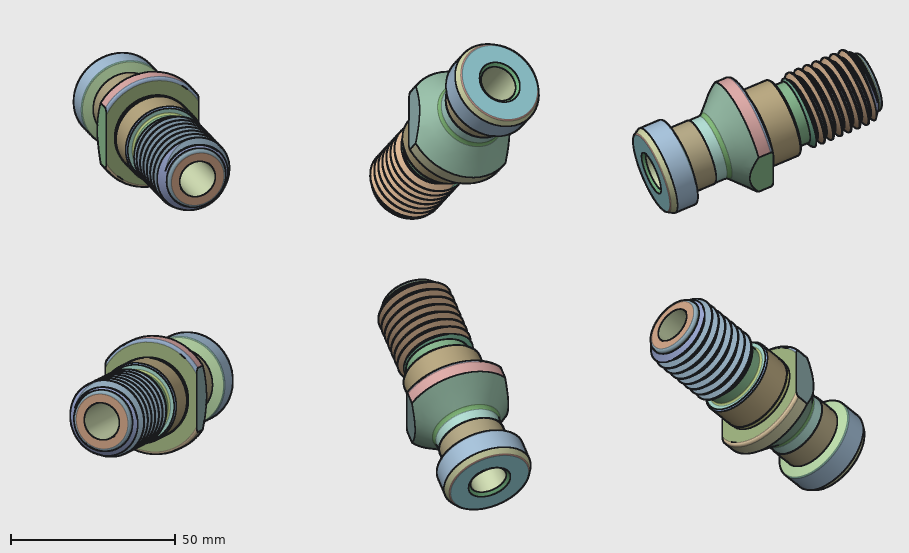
import cadquery as cq
import math


TOTAL_LENGTH = 74.0
HEAD_REAR = 9.0
NECK_STEP = 16.9
FLANGE_FRONT = 29.0
FLANGE_REAR = 34.0
PILOT_START = 35.4
PILOT_END = 44.9
THREAD_START = 48.9
THREAD_END = 72.5

HEAD_RADIUS = 14.0
NECK_RADIUS = 10.5
NECK_RELIEF_RADIUS = 10.35
FLANGE_RADIUS = 18.0
PILOT_RADIUS = 12.5
PILOT_RELIEF_RADIUS = 12.3
UNDERCUT_RADIUS = 10.1
TIP_RADIUS = 9.5
BORE_RADIUS = 5.75

HEAD_CHAMFER_LENGTH = 2.0
HEAD_CHAMFER_ANGLE = 30.0
HEAD_FRONT_FILLET = 0.5
HEAD_REAR_ANGLE = 15.0
HEAD_REAR_FILLET = 0.4
NECK_FILLET = 2.0
FLANGE_FILLET = 1.0
PILOT_CHAMFER = 0.5
UNDERCUT_FILLET = 0.6
TIP_FILLET = 1.0
BORE_CHAMFER = 1.0
EDGE_TOLERANCE = 1e-4

WIDTH_ACROSS_FLATS = 30.0

THREAD_RADIUS = 12.0
THREAD_PITCH = 3.0
THREAD_DEPTH = 0.6134 * THREAD_PITCH
ROOT_RADIUS = THREAD_RADIUS - THREAD_DEPTH
THREAD_CREST_WIDTH = THREAD_PITCH / 8
THREAD_HALF_ANGLE = 30.0
THREAD_LEAD_IN_ANGLE = 35.0
THREAD_LEAD_OUT_ANGLE = 40.0
FIRST_CREST = 46.1
RIDGE_EMBEDMENT = 0.2
TRIM_CLEARANCE = 0.2


def tangent(degrees):
    return math.tan(math.radians(degrees))


def revolve_about_x(profile):
    """Turn a closed (station, radius) outline about the X axis."""
    return cq.Workplane("XZ").polyline(profile).close().revolve(360, (0, 0, 0), (1, 0, 0))


def make_turned_body():
    """Revolve the outer profile, with the threaded length at its root radius."""
    head_face_radius = HEAD_RADIUS - HEAD_CHAMFER_LENGTH * tangent(HEAD_CHAMFER_ANGLE)
    neck_start = HEAD_REAR + (HEAD_RADIUS - NECK_RADIUS) * tangent(HEAD_REAR_ANGLE)
    cone_start = FLANGE_FRONT - (FLANGE_RADIUS - NECK_RELIEF_RADIUS)
    profile = [
        (0, 0),
        (0, head_face_radius),
        (HEAD_CHAMFER_LENGTH, HEAD_RADIUS),
        (HEAD_REAR, HEAD_RADIUS),
        (neck_start, NECK_RADIUS),
        (NECK_STEP, NECK_RADIUS),
        (NECK_STEP, NECK_RELIEF_RADIUS),
        (cone_start, NECK_RELIEF_RADIUS),
        (FLANGE_FRONT, FLANGE_RADIUS),
        (FLANGE_REAR, FLANGE_RADIUS),
        (FLANGE_REAR, PILOT_RELIEF_RADIUS),
        (PILOT_START, PILOT_RELIEF_RADIUS),
        (PILOT_START, PILOT_RADIUS),
        (PILOT_END - PILOT_CHAMFER, PILOT_RADIUS),
        (PILOT_END, PILOT_RADIUS - PILOT_CHAMFER),
        (PILOT_END, UNDERCUT_RADIUS),
        (THREAD_START, UNDERCUT_RADIUS),
        (THREAD_START, ROOT_RADIUS),
        (TOTAL_LENGTH, ROOT_RADIUS),
        (TOTAL_LENGTH, 0),
    ]
    body = revolve_about_x(profile)
    rounded_edges = [
        (0, head_face_radius, HEAD_FRONT_FILLET),
        (HEAD_REAR, HEAD_RADIUS, HEAD_REAR_FILLET),
        (cone_start, NECK_RELIEF_RADIUS, NECK_FILLET),
        (FLANGE_REAR, FLANGE_RADIUS, FLANGE_FILLET),
        (PILOT_END, UNDERCUT_RADIUS, UNDERCUT_FILLET),
    ]
    for station, radius, fillet in rounded_edges:
        body = round_circular_edge(body, station, radius, fillet)
    return body


def round_circular_edge(body, station, radius, fillet):
    """Fillet the circular edge of the given radius at the given X station."""
    def is_wanted(edge):
        return (
            edge.geomType() == "CIRCLE"
            and abs(edge.Center().x - station) < EDGE_TOLERANCE
            and abs(edge.radius() - radius) < EDGE_TOLERANCE
        )

    edges = [edge for edge in body.edges().vals() if is_wanted(edge)]
    return body.newObject(edges).fillet(fillet)


def make_flats_envelope():
    """Slab that trims the flange to two parallel flats facing -Y and +Y."""
    height = 2 * FLANGE_RADIUS
    slab = cq.Workplane("XY").box(TOTAL_LENGTH, WIDTH_ACROSS_FLATS, height)
    return slab.translate((TOTAL_LENGTH / 2, 0, 0))


def make_bore():
    """Through bore with a countersunk mouth in the head face."""
    mouth_radius = BORE_RADIUS + BORE_CHAMFER
    profile = [
        (0, 0),
        (0, mouth_radius),
        (BORE_CHAMFER, BORE_RADIUS),
        (TOTAL_LENGTH, BORE_RADIUS),
        (TOTAL_LENGTH, 0),
    ]
    return revolve_about_x(profile)


def make_thread_ridge():
    """Helical ridge with a flat crest, its foot sunk into the core and its start trimmed by a cone."""
    foot_radius = ROOT_RADIUS - RIDGE_EMBEDMENT
    half_crest = THREAD_CREST_WIDTH / 2
    half_foot = half_crest + (THREAD_RADIUS - foot_radius) * tangent(THREAD_HALF_ANGLE)
    turns = math.ceil((TOTAL_LENGTH - FIRST_CREST) / THREAD_PITCH)
    helix = cq.Wire.makeHelix(THREAD_PITCH, turns * THREAD_PITCH, foot_radius)
    section = [
        (foot_radius, -half_foot),
        (THREAD_RADIUS, -half_crest),
        (THREAD_RADIUS, half_crest),
        (foot_radius, half_foot),
    ]
    ridge = cq.Workplane("XZ").polyline(section).close().sweep(cq.Workplane(helix), isFrenet=True)
    ridge = ridge.rotate((0, 0, 0), (0, 1, 0), 90).rotate((0, 0, 0), (1, 0, 0), 180)
    return ridge.translate((FIRST_CREST, 0, 0)).intersect(make_lead_in_envelope())


def make_lead_in_envelope():
    """Ring beyond the undercut whose near end is the lead-in cone of the thread."""
    outer_radius = THREAD_RADIUS + TRIM_CLEARANCE
    lead_in = (outer_radius - ROOT_RADIUS) * tangent(THREAD_LEAD_IN_ANGLE)
    far_end = TOTAL_LENGTH + THREAD_PITCH
    profile = [
        (THREAD_START, BORE_RADIUS),
        (THREAD_START, ROOT_RADIUS),
        (THREAD_START + lead_in, outer_radius),
        (far_end, outer_radius),
        (far_end, BORE_RADIUS),
    ]
    return revolve_about_x(profile)


def make_tip_trim():
    """Cutter that leaves the lead-out cone and the rounded plain tip."""
    outer_radius = THREAD_RADIUS + TRIM_CLEARANCE
    lead_out = (outer_radius - TIP_RADIUS) * tangent(THREAD_LEAD_OUT_ANGLE)
    far_end = TOTAL_LENGTH + THREAD_PITCH
    arc_offset = TIP_FILLET * math.sqrt(0.5)
    arc_middle = (TOTAL_LENGTH - TIP_FILLET + arc_offset, TIP_RADIUS - TIP_FILLET + arc_offset)
    outline = (
        cq.Workplane("XZ")
        .moveTo(THREAD_END - lead_out, outer_radius)
        .lineTo(THREAD_END, TIP_RADIUS)
        .lineTo(TOTAL_LENGTH - TIP_FILLET, TIP_RADIUS)
        .threePointArc(arc_middle, (TOTAL_LENGTH, TIP_RADIUS - TIP_FILLET))
        .lineTo(far_end, TIP_RADIUS - TIP_FILLET)
        .lineTo(far_end, outer_radius)
        .close()
    )
    return outline.revolve(360, (0, 0, 0), (1, 0, 0))


body = make_turned_body().intersect(make_flats_envelope())
threaded_body = body.union(make_thread_ridge()).cut(make_tip_trim())
result = threaded_body.cut(make_bore())